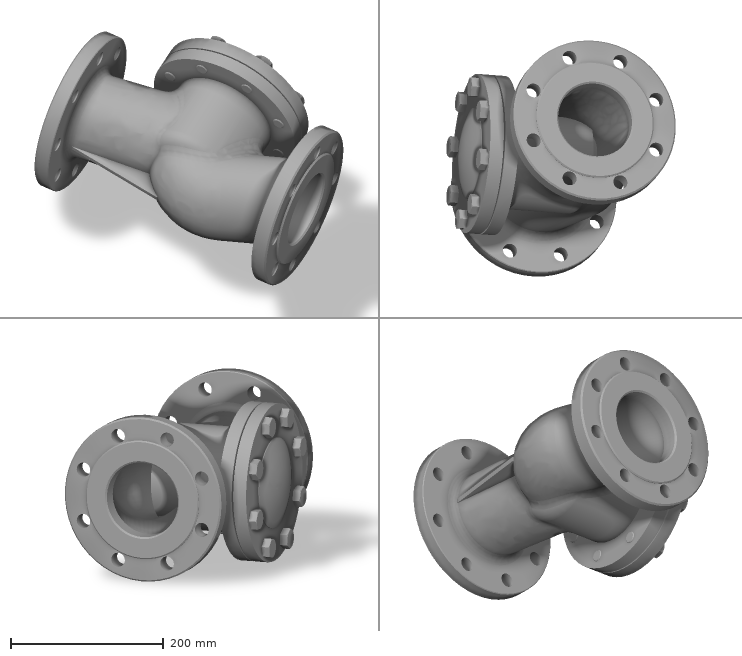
import cadquery as cq
import math

LENGTH = 350.0
WIDTH = 246.5
BONNET_X = 7.7

FLANGE_DIAMETER = 220.0
FLANGE_DEPTH = 23.8
FLANGE_CHAMFER = 2.0
FLANGE_BACK_CHAMFER = 1.0
RAISED_FACE_DIAMETER = 159.0
RAISED_FACE_HEIGHT = 2.5
RAISED_FACE_CHAMFER = 1.8
BORE_DIAMETER = 100.0
BORE_CHAMFER = 2.0
FLANGE_HOLE_DIAMETER = 19.0
FLANGE_HOLE_CIRCLE = 180.0
HOLE_COUNT = 8
HOLE_STEP = 360 / HOLE_COUNT
INLET_NECK_FILLET = 10.0
OUTLET_NECK_FILLET = 12.2

INLET_START_DIAMETER = 116.2
INLET_END_DIAMETER = 125.3
INLET_BORE_END_DIAMETER = 94.5
INLET_RISE = 17.5

ELBOW_DIAMETER = 116.2
ELBOW_SLOPE = 22.0
ELBOW_RADIUS = 44.5

BONNET_DIAMETER = 139.3
BONNET_BOTTOM = -31.5
BONNET_EDGE_RADIUS = 21.0
BONNET_FILLET = 21.7
PLUG_DIAMETER = 120.0
PLUG_BOTTOM = -28.0
COVER_DIAMETER = 210.0
COVER_THICKNESS = 18.2
COVER_GAP = 2.0
COVER_TOP = 123.0
DOME_PLINTH = 1.5
DOME_TOP = WIDTH - FLANGE_DIAMETER / 2

BOLT_CIRCLE = 175.0
BOLT_DIAMETER = 16.0
BOLT_TIP = 1.5
BOLT_TIP_CHAMFER = 1.0
HEAD_FLATS = 24.0
HEAD_HEIGHT = 10.5

RIB_THICKNESS = 6.3
RIB_START = (-145.2, -57.5)
RIB_END = (-6.3, -77.5)

SEAM_SAMPLES = (0.13, 0.5, 0.87)
SEAM_TOLERANCE = 0.005

END_X = LENGTH / 2
FLANGE_BACK_X = END_X - FLANGE_DEPTH
COVER_BOTTOM = COVER_TOP - COVER_THICKNESS
BONNET_TOP = COVER_BOTTOM - COVER_GAP
BONNET_FLANGE_BOTTOM = BONNET_TOP - COVER_THICKNESS


def y_cylinder(diameter, y_low, y_high):
    """Cylinder on the bonnet axis."""
    base = cq.Workplane("XZ", origin=(BONNET_X, y_high, 0))
    return base.circle(diameter / 2).extrude(y_high - y_low)


def x_cylinder(diameter, x_low, x_high):
    """Cylinder on the pipe axis."""
    return cq.Workplane("YZ", origin=(x_low, 0, 0)).circle(diameter / 2).extrude(x_high - x_low)


def seam_edges(solid, first, second):
    """Edges of a solid that lie on the surfaces of both given shapes, where those two meet."""
    skins = [cq.Compound.makeCompound(shape.faces().vals()) for shape in (first, second)]

    def on_both(edge):
        points = [cq.Vertex.makeVertex(*edge.positionAt(t).toTuple()) for t in SEAM_SAMPLES]
        return all(skin.distance(point) < SEAM_TOLERANCE for point in points for skin in skins)

    return [edge for edge in solid.edges().vals() if on_both(edge)]


def fillet_edges(solid, edges, radius):
    return cq.Workplane(solid.val().fillet(radius, edges))


def inlet(start_diameter, end_diameter):
    """Round cone from the inlet flange to the bonnet axis, rising toward +Y."""
    start = cq.Plane(origin=(-FLANGE_BACK_X, 0, 0), xDir=(0, -1, 0), normal=(1, 0, 0))
    return (
        cq.Workplane(start)
        .circle(start_diameter / 2)
        .workplane(offset=FLANGE_BACK_X + BONNET_X)
        .center(-INLET_RISE, 0)
        .circle(end_diameter / 2)
        .loft(ruled=True)
    )


def elbow(diameter):
    """Round bar that leaves the outlet flange on a slope and bends up onto the bonnet axis."""
    slope = math.radians(ELBOW_SLOPE)
    bend_x = BONNET_X + ELBOW_RADIUS
    bend_y = ELBOW_RADIUS / math.cos(slope) - (FLANGE_BACK_X - bend_x) * math.tan(slope)

    def on_bend(turn):
        """Point on the bend, with the turn measured from its lowest point toward the bonnet."""
        return (bend_x - ELBOW_RADIUS * math.sin(turn), bend_y - ELBOW_RADIUS * math.cos(turn))

    start = (END_X, FLANGE_DEPTH * math.tan(slope))
    bend_end = math.pi / 2
    path = cq.Workplane("XY").moveTo(*start).lineTo(*on_bend(-slope))
    path = path.threePointArc(on_bend((bend_end - slope) / 2), on_bend(bend_end))
    heading = cq.Vector(-math.cos(slope), -math.sin(slope), 0)
    plane = cq.Plane(origin=(*start, 0), xDir=(0, 0, 1), normal=heading)
    bar = cq.Workplane(plane).circle(diameter / 2).sweep(path)
    between_flanges = cq.Workplane("XY").box(2 * FLANGE_BACK_X, LENGTH, LENGTH)
    return bar.intersect(between_flanges)


def pipe_flange():
    """Inlet flange blank: a chamfered disc with a raised face toward -X."""
    face_x = RAISED_FACE_HEIGHT - END_X
    disc = x_cylinder(FLANGE_DIAMETER, face_x, -FLANGE_BACK_X)
    disc = disc.faces("<X").chamfer(FLANGE_CHAMFER)
    disc = disc.faces(">X").chamfer(FLANGE_BACK_CHAMFER)
    raised_face = x_cylinder(RAISED_FACE_DIAMETER, -END_X, face_x)
    return disc.union(raised_face.faces("<X").chamfer(RAISED_FACE_CHAMFER))


def pipe_flange_cuts():
    """Bore with a chamfered mouth and the ring of holes through the inlet flange."""
    bore = x_cylinder(BORE_DIAMETER, -END_X, -FLANGE_BACK_X)
    bore_radius = BORE_DIAMETER / 2
    face_center = cq.Vector(-END_X, 0, 0)
    inward = cq.Vector(1, 0, 0)
    mouth = cq.Solid.makeCone(bore_radius + BORE_CHAMFER, bore_radius, BORE_CHAMFER, face_center, inward)
    holes = (
        cq.Workplane("YZ", origin=(-END_X, 0, 0))
        .polarArray(FLANGE_HOLE_CIRCLE / 2, HOLE_STEP / 2, 360, HOLE_COUNT)
        .circle(FLANGE_HOLE_DIAMETER / 2)
        .extrude(FLANGE_DEPTH)
    )
    return bore.union(cq.Workplane(mouth)).union(holes)


def rib():
    """Flat web under the inlet pipe, running into the elbow."""
    outline = [RIB_START, RIB_END, (RIB_END[0], 0), (RIB_START[0], 0)]
    return cq.Workplane("XY").polyline(outline).close().extrude(RIB_THICKNESS / 2, both=True)


def bonnet():
    """Upright of the casing, rounded at its lower edge."""
    upright = y_cylinder(BONNET_DIAMETER, BONNET_BOTTOM, COVER_BOTTOM)
    return upright.faces("<Y").edges().fillet(BONNET_EDGE_RADIUS)


def cover_dome():
    """Shallow spherical dome on a low round plinth."""
    radius = PLUG_DIAMETER / 2
    base = COVER_TOP + DOME_PLINTH
    sphere_radius = (radius**2 + (DOME_TOP - base) ** 2) / (2 * (DOME_TOP - base))
    middle = (radius / 2, DOME_TOP - sphere_radius + math.sqrt(sphere_radius**2 - radius**2 / 4))
    return (
        cq.Workplane("XY", origin=(BONNET_X, 0, 0))
        .moveTo(0, COVER_TOP)
        .lineTo(radius, COVER_TOP)
        .lineTo(radius, base)
        .threePointArc(middle, (0, DOME_TOP))
        .close()
        .revolve(360, (0, 0, 0), (0, 1, 0))
    )


def at_bolt_place(part, place):
    """Turn a part from the first bolt place about the bonnet axis to another one."""
    return part.rotate((BONNET_X, 0, 0), (BONNET_X, 1, 0), (place + 0.5) * HOLE_STEP)


def bolt_shank():
    tip = BONNET_FLANGE_BOTTOM - BOLT_TIP
    shank = y_cylinder(BOLT_DIAMETER, tip, COVER_TOP).faces("<Y").chamfer(BOLT_TIP_CHAMFER)
    return shank.translate((BOLT_CIRCLE / 2, 0, 0))


def cover():
    """Cover flange, the plug that fills the bonnet behind it, and the dome on top."""
    flange = y_cylinder(COVER_DIAMETER, COVER_BOTTOM, COVER_TOP)
    plug = y_cylinder(PLUG_DIAMETER, PLUG_BOTTOM, COVER_TOP)
    return flange.union(plug).union(cover_dome())


def casing_shell():
    """Outside of the casing: bonnet, both pipes, their flanges and the rib, blended together."""
    upright = bonnet()
    inlet_pipe = inlet(INLET_START_DIAMETER, INLET_END_DIAMETER)
    outlet_pipe = elbow(ELBOW_DIAMETER)
    shell = upright.union(inlet_pipe).union(outlet_pipe)
    seams = seam_edges(shell, upright, inlet_pipe) + seam_edges(shell, upright, outlet_pipe)
    shell = fillet_edges(shell, seams, BONNET_FILLET)

    shell = shell.cut(y_cylinder(COVER_DIAMETER, BONNET_FLANGE_BOTTOM, COVER_TOP))
    shell = shell.union(y_cylinder(COVER_DIAMETER, BONNET_FLANGE_BOTTOM, BONNET_TOP))

    inlet_flange = pipe_flange()
    outlet_flange = inlet_flange.mirror("YZ")
    shell = shell.union(inlet_flange).union(outlet_flange)
    shell = fillet_edges(shell, seam_edges(shell, inlet_flange, inlet_pipe), INLET_NECK_FILLET)
    shell = fillet_edges(shell, seam_edges(shell, outlet_flange, outlet_pipe), OUTLET_NECK_FILLET)
    return shell.union(rib())


def valve_body():
    """Casing and cover in one piece, with the flow passages and all holes."""
    inlet_bore = inlet(BORE_DIAMETER, INLET_BORE_END_DIAMETER).cut(elbow(ELBOW_DIAMETER))
    flange_cuts = pipe_flange_cuts()
    body = casing_shell().cut(inlet_bore).cut(elbow(BORE_DIAMETER))
    body = body.cut(flange_cuts).cut(flange_cuts.mirror("YZ"))
    body = body.union(cover())
    for place in range(HOLE_COUNT):
        body = body.cut(at_bolt_place(bolt_shank(), place))
    return body


def bolt():
    """Hexagon bolt on the +X side of the bonnet axis, its head corners chamfered at the top."""
    corners = HEAD_FLATS / math.cos(math.pi / 6)
    corner_depth = (corners - HEAD_FLATS) / 2
    top = cq.Workplane("XZ", origin=(0, COVER_TOP + HEAD_HEIGHT, 0))
    hexagon = top.polygon(6, corners).extrude(HEAD_HEIGHT)
    hexagon = hexagon.rotate((0, 0, 0), (0, 1, 0), -HOLE_STEP / 2)
    blank = top.circle(corners / 2).extrude(HEAD_HEIGHT)
    blank = blank.faces(">Y").chamfer(corner_depth * math.tan(math.pi / 6), corner_depth)
    head = hexagon.intersect(blank).translate((BONNET_X + BOLT_CIRCLE / 2, 0, 0))
    return bolt_shank().union(head)


valve = valve_body()
bolts = [at_bolt_place(bolt(), place) for place in range(HOLE_COUNT)]
result = cq.Compound.makeCompound([valve.val(), *[fastener.val() for fastener in bolts]])